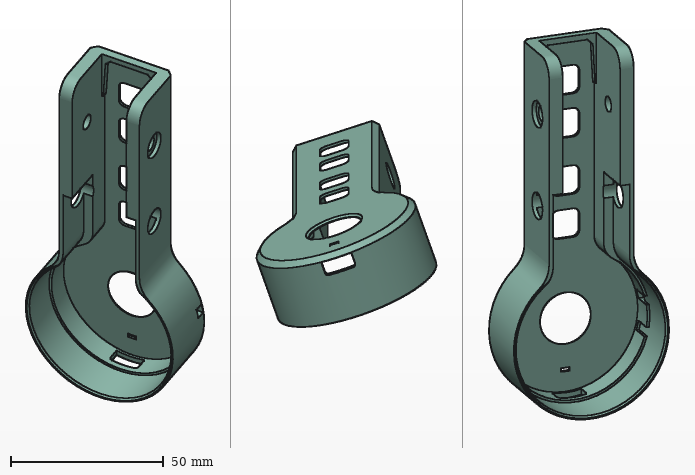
import cadquery as cq
import math

length = 126.5
depth = 23.3
ring_radius = 27.51
ring_z = ring_radius
arm_half_width = 14.99
neck_fillet = 10.6
back_chamfer = 1.9
arm_corner_radius = 6.0

plate_thickness = 1.0
lip_radius = 25.5
channel_half_width = 10.1
channel_fillet = 7.0
rim_radius = 26.5
wide_half_width = 13.5
wide_fillet = 9.6
step_depth = depth - 9.2
mouth_chamfer = 0.6
wide_top = 80.0
cavity_overrun = 6.3

frame_thickness = 2.0
frame_bottom = 108.8
frame_bar = 2.0
frame_foot_half_width = 9.6
frame_head_half_width = 8.9
frame_corner = 1.9

window_size = 10.0
window_corner = 2.4
window_heights = (60.5, 75.5, 95.5, 110.5)
center_hole_diameter = 18.0
center_hole_countersink = 0.8
small_slot_width = 3.0
small_slot_height = 1.3
small_slot_z = 9.6

cross_hole_y = 10.1
large_hole_diameter = 9.0
large_hole_z = 73.0
screw_diameter = 5.2
screw_z = 105.0
counterbore_depth = 1.5

drain_width = 10.4
drain_height = 4.9
drain_corner = 1.0
drain_back_gap = 2.0

latch_inner_offset = 3.9
latch_outer_offset = 7.1
latch_back_gap = 2.3
latch_width = 3.3


def keyhole(radius, half_width, fillet, top, y_start, y_end):
    """Disc blended by fillets into a straight arm, extruded from y_start to y_end."""
    blend_x = half_width + fillet
    blend_z = ring_z + math.sqrt((radius + fillet) ** 2 - blend_x**2)
    to_blend = math.atan2(blend_z - ring_z, blend_x)
    tangent = (radius * math.cos(to_blend), ring_z + radius * math.sin(to_blend))
    middle_angle = (2 * math.pi + to_blend) / 2
    middle = (blend_x + fillet * math.cos(middle_angle), blend_z + fillet * math.sin(middle_angle))
    return (
        cq.Workplane("XZ", origin=(0, y_start, 0))
        .moveTo(half_width, top)
        .lineTo(half_width, blend_z)
        .threePointArc(middle, tangent)
        .threePointArc((0, ring_z - radius), (-tangent[0], tangent[1]))
        .threePointArc((-middle[0], middle[1]), (-half_width, blend_z))
        .lineTo(-half_width, top)
        .close()
        .extrude(y_start - y_end)
    )


def x_cylinder(diameter, z, x_start, x_end):
    """Cylinder along X at the depth of the arm's cross holes."""
    return (
        cq.Workplane("YZ", origin=(x_start, cross_hole_y, z))
        .circle(diameter / 2)
        .extrude(x_end - x_start)
    )


def latch_block(width, z):
    """Block reaching outwards through the +X side of the ring, near the back plate."""
    block = cq.Workplane("XY").box(
        ring_radius, width, latch_height, centered=(False, True, True)
    )
    return block.translate((ring_radius / 2, depth - latch_back_gap - width / 2, z))


def back_cut(sketch):
    """Prism for cutting through the back plate, from a closed outline on the XZ plane."""
    return sketch.extrude(-2 * depth)


body = keyhole(ring_radius, arm_half_width, neck_fillet, length + back_chamfer, 0, depth)
body = body.faces(">Y").chamfer(back_chamfer)
body = body.intersect(
    cq.Workplane("XY").box(4 * ring_radius, 4 * depth, length, centered=(True, True, False))
)
body = body.edges("|X and >Z and <Y").fillet(arm_corner_radius)

inside = depth - plate_thickness
body = body.cut(
    keyhole(lip_radius, channel_half_width, channel_fillet, length + cavity_overrun, 0, inside)
)
body = body.cut(keyhole(rim_radius, wide_half_width, wide_fillet, wide_top, 0, step_depth))

mouth = (
    cq.Workplane("XZ")
    .center(0, ring_z)
    .circle(rim_radius + mouth_chamfer)
    .workplane(offset=-mouth_chamfer)
    .circle(rim_radius)
    .loft()
)
body = body.cut(mouth)

frame_top = length - frame_bar
frame = (
    cq.Workplane("XZ", origin=(0, inside, 0))
    .moveTo(-channel_half_width, frame_bottom)
    .lineTo(-channel_half_width, length)
    .lineTo(channel_half_width, length)
    .lineTo(channel_half_width, frame_bottom)
    .lineTo(frame_foot_half_width, frame_bottom)
    .lineTo(frame_head_half_width, frame_top - frame_corner)
    .lineTo(frame_head_half_width - frame_corner, frame_top)
    .lineTo(frame_corner - frame_head_half_width, frame_top)
    .lineTo(-frame_head_half_width, frame_top - frame_corner)
    .lineTo(-frame_foot_half_width, frame_bottom)
    .close()
    .extrude(frame_thickness)
)
body = body.union(frame)

for height in window_heights:
    window = cq.Workplane("XZ").center(0, height).rect(window_size, window_size)
    body = body.cut(back_cut(window).edges("|Y").fillet(window_corner))
body = body.cut(back_cut(cq.Workplane("XZ").center(0, ring_z).circle(center_hole_diameter / 2)))
countersink = (
    cq.Workplane("XZ", origin=(0, depth, ring_z))
    .circle(center_hole_diameter / 2 + center_hole_countersink)
    .workplane(offset=center_hole_countersink)
    .circle(center_hole_diameter / 2)
    .loft()
)
body = body.cut(countersink)
body = body.cut(
    back_cut(cq.Workplane("XZ").center(0, small_slot_z).rect(small_slot_width, small_slot_height))
)

body = body.cut(x_cylinder(large_hole_diameter, large_hole_z, -arm_half_width, arm_half_width))
body = body.cut(x_cylinder(screw_diameter, screw_z, -arm_half_width, arm_half_width))
for side in (-1, 1):
    floor = side * (arm_half_width - counterbore_depth)
    body = body.cut(x_cylinder(large_hole_diameter, screw_z, floor, side * arm_half_width))

drain = (
    cq.Workplane("XY")
    .center(0, depth - drain_back_gap - drain_height / 2)
    .rect(drain_width, drain_height)
    .extrude(ring_z / 2)
    .edges("|Z and <Y")
    .fillet(drain_corner)
)
body = body.cut(drain)

latch_height = latch_outer_offset - latch_inner_offset
latch_middle = (latch_inner_offset + latch_outer_offset) / 2
rim_disc = cq.Workplane("XZ").center(0, ring_z).circle(rim_radius).extrude(-depth)
pocket_width = depth - latch_back_gap - step_depth
for side in (-1, 1):
    body = body.cut(latch_block(pocket_width, ring_z + side * latch_middle).intersect(rim_disc))
body = body.cut(latch_block(latch_width, ring_z + latch_middle))

result = body